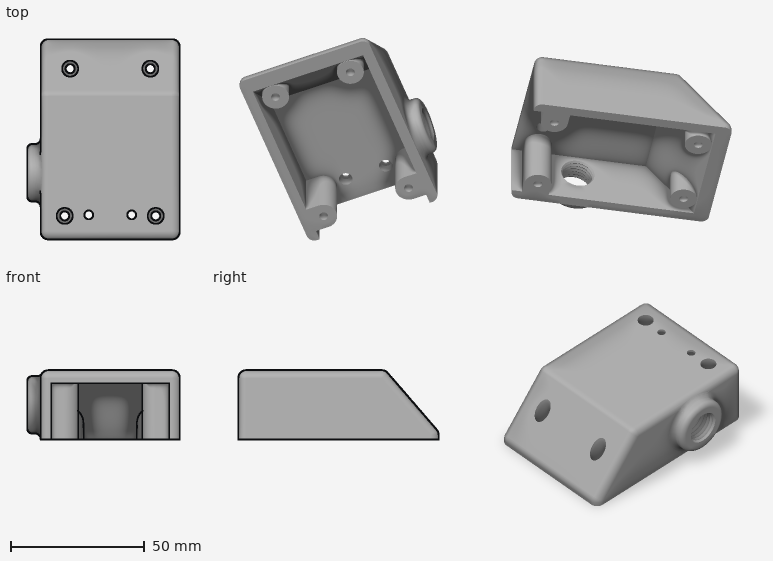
import cadquery as cq

width = 52.1
length = 75.0
height = 26.0
rear_edge_height = 2.85
slope_run = 20.0
edge_radius = 3.0

side_wall = 4.0
roof = 5.0
cavity_width = width - 2 * side_wall
cavity_height = height - roof
cavity_rear_bottom = 69.15
cavity_rear_top = 50.85

post_radius = 5.0
screw_diameter = 3.3
head_diameter = 6.0
head_seat_height = 4.0
front_post_x = 17.0
front_post_y = 8.85
rear_post_x = 15.0
rear_post_y = 63.9

pin_diameter = 3.2
pin_recess_diameter = 5.0
pin_seat_thickness = 1.0
pin_x = 8.0
pin_y = 9.2

entry_y = 25.0
entry_z = height / 2
entry_diameter = 21.6
entry_length = 5.0
entry_round = 1.95
selection_margin = 0.1
thread_minor = 11.55
thread_major = 12.7
thread_pitch = 1.5
entry_face_x = -width / 2 - entry_length
wall_inner_x = -cavity_width / 2


def extrude_profile(points, thickness):
    """Extrude a Y-Z outline symmetrically about X = 0."""
    return cq.Workplane("YZ").polyline(points).close().extrude(thickness / 2, both=True)


def cylinder(x, y, diameter, bottom, top):
    """Vertical cylinder between two heights."""
    return cq.Workplane("XY", origin=(x, y, bottom)).circle(diameter / 2).extrude(top - bottom)


def make_shell():
    """Rounded outer block with a sloping rear."""
    outline = [
        (0, 0),
        (length, 0),
        (length, rear_edge_height),
        (length - slope_run, height),
        (0, height),
    ]
    return extrude_profile(outline, width).edges("not <Z").fillet(edge_radius)


def make_cavity():
    """Hollow open at the front and underside, sloping at the rear."""
    outline = [
        (0, 0),
        (cavity_rear_bottom, 0),
        (cavity_rear_top, cavity_height),
        (0, cavity_height),
    ]
    return extrude_profile(outline, cavity_width)


def make_entry_boss():
    """Round boss with a rounded rim, starting inside the side wall."""
    boss = (
        cq.Workplane("YZ", origin=(entry_face_x, entry_y, entry_z))
        .circle(entry_diameter / 2)
        .extrude(wall_inner_x - entry_face_x)
    )
    return boss.faces("<X").edges().fillet(entry_round)


def add_entry_boss(shell):
    """Join the boss and blend its root into the side wall."""
    joined = shell.union(make_entry_boss())
    reach = entry_diameter / 2 + selection_margin
    root_zone = cq.selectors.BoxSelector(
        (-width / 2 - selection_margin, entry_y - reach, entry_z - reach),
        (-width / 2 + edge_radius / 2, entry_y + reach, entry_z + reach),
    )
    return joined.edges(root_zone).fillet(entry_round)


def make_thread_cutter():
    """Bore with evenly spaced V-shaped thread grooves."""
    minor = thread_minor / 2
    major = thread_major / 2
    depth = wall_inner_x - entry_face_x
    turns = int(depth / thread_pitch)
    profile = cq.Workplane("XY").lineTo(0, major)
    for turn in range(turns):
        start = turn * thread_pitch
        profile = profile.lineTo(start + thread_pitch / 2, minor)
        profile = profile.lineTo(start + thread_pitch, major)
    inner_end = depth + thread_pitch / 2
    profile = profile.lineTo(inner_end, minor).lineTo(inner_end, 0).close()
    cutter = profile.revolve(360, (0, 0, 0), (1, 0, 0))
    return cutter.translate((entry_face_x, entry_y, entry_z))


def make_front_post(side):
    """Front post with a web joining it to the side wall; side is -1 or 1."""
    web_width = width / 2 - side_wall / 2 - front_post_x
    web = cq.Workplane("XY").box(web_width, 2 * post_radius, height, centered=(True, True, False))
    web = web.translate((side * (front_post_x + web_width / 2), front_post_y, 0))
    return cylinder(side * front_post_x, front_post_y, 2 * post_radius, 0, height).union(web)


def make_screw_hole(x, y):
    """Screw clearance hole with a deep head bore from above."""
    head_bore = cylinder(x, y, head_diameter, head_seat_height, height)
    return cylinder(x, y, screw_diameter, 0, height).union(head_bore)


def make_pin_hole(x, y):
    """Hole through the roof, widened from the inside."""
    recess = cylinder(x, y, pin_recess_diameter, cavity_height, height - pin_seat_thickness)
    return cylinder(x, y, pin_diameter, cavity_height, height).union(recess)


outer = make_shell()
body = add_entry_boss(outer).cut(make_cavity())

for side in (-1, 1):
    rear_post = cylinder(side * rear_post_x, rear_post_y, 2 * post_radius, 0, height)
    posts = make_front_post(side).union(rear_post)
    body = body.union(posts.intersect(outer))
    body = body.cut(make_screw_hole(side * front_post_x, front_post_y))
    body = body.cut(make_screw_hole(side * rear_post_x, rear_post_y))
    body = body.cut(make_pin_hole(side * pin_x, pin_y))

result = body.cut(make_thread_cutter())